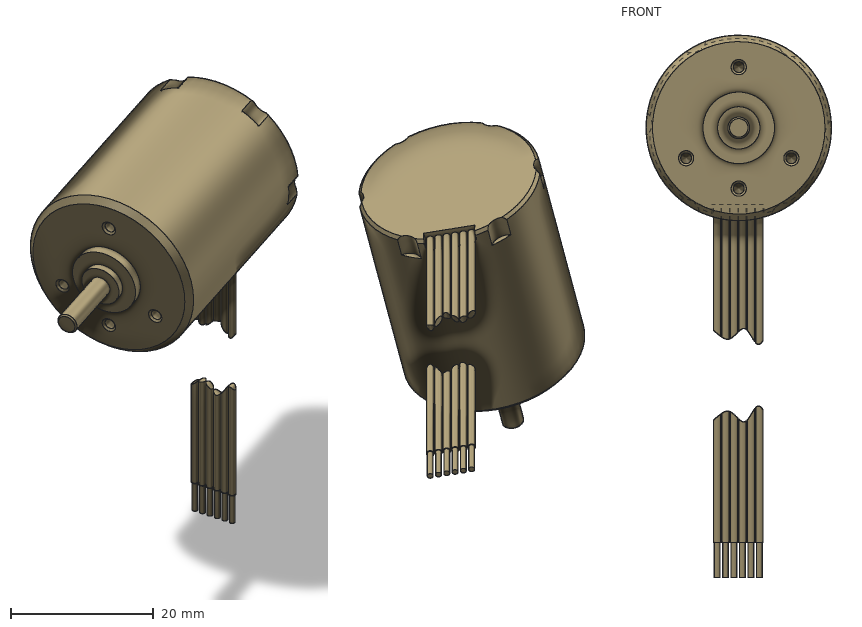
import cadquery as cq
import math


HOUSING_RADIUS = 13.0
HOUSING_LENGTH = 32.35
FRONT_CHAMFER = 0.9
REAR_CHAMFER = 0.45

BOSS_RADIUS = 5.0
BOSS_LENGTH = 1.45
BEARING_RADIUS = 3.0
BEARING_LENGTH = 1.1
SHAFT_RADIUS = 1.5
SHAFT_LENGTH = 10.0
SHAFT_CHAMFER = 0.2

MOUNT_CIRCLE_RADIUS = 8.5
MOUNT_HOLE_ANGLES = (90, 210, 270, 330)
MOUNT_HOLE_RADIUS = 0.75
MOUNT_HOLE_DEPTH = 3.05
MOUNT_HOLE_CHAMFER = 0.3
MOUNT_HOLE_TIP_LENGTH = 0.45

NOTCH_COUNT = 6
NOTCH_WIDTH = 3.2
NOTCH_LENGTH = 3.3
NOTCH_RADIUS = 2.1
NOTCH_START_ANGLE = -2.3

WIRE_COUNT = 6
WIRE_RADIUS = 0.5
WIRE_ROW_WIDTH = 7.0
WIRE_PITCH = (WIRE_ROW_WIDTH - 2 * WIRE_RADIUS) / (WIRE_COUNT - 1)
WIRE_ROW_X = -0.1
WIRE_Y = HOUSING_LENGTH - 1.2
WIRE_EMBEDDING = 0.75
CORE_RADIUS = 0.42
CORE_LENGTH = 4.95
OVERALL_HEIGHT = 76.1
WIRE_END_Z = HOUSING_RADIUS - OVERALL_HEIGHT
INSULATION_END_Z = WIRE_END_Z + CORE_LENGTH

WIRE_SLOT_CLEARANCE = 0.15
WIRE_SLOT_WIDTH = WIRE_ROW_WIDTH + 2 * WIRE_SLOT_CLEARANCE
WIRE_SLOT_DEPTH = 2.3
WIRE_SLOT_TOP_Z = -HOUSING_RADIUS + WIRE_SLOT_DEPTH
WIRE_TOP_Z = WIRE_SLOT_TOP_Z + WIRE_EMBEDDING

BREAK_Z = -34.7
BREAK_WAVE = [(-3.7, 6.5), (-2.7, 5.55), (-1.5, 5.0), (0.75, 6.55), (2.7, 4.3), (3.65, 5.3)]


def rod_along_y(radius, start_y, length):
    """Solid cylinder on the motor axis, growing from start_y toward -Y."""
    return cq.Workplane("XZ", origin=(0, start_y, 0)).circle(radius).extrude(length)


def rod_along_z(radius, x, bottom_z, top_z):
    """Solid upright cylinder in the wire row."""
    plane = cq.Workplane("XY", origin=(x, WIRE_Y, bottom_z))
    return plane.circle(radius).extrude(top_z - bottom_z)


def make_housing():
    housing = rod_along_y(HOUSING_RADIUS, HOUSING_LENGTH, HOUSING_LENGTH)
    housing = housing.faces("<Y").chamfer(FRONT_CHAMFER)
    return housing.faces(">Y").chamfer(REAR_CHAMFER)


def make_shaft_end():
    boss = rod_along_y(BOSS_RADIUS, 0, BOSS_LENGTH)
    bearing = rod_along_y(BEARING_RADIUS, -BOSS_LENGTH, BEARING_LENGTH)
    shaft = rod_along_y(SHAFT_RADIUS, -BOSS_LENGTH - BEARING_LENGTH, SHAFT_LENGTH)
    shaft = shaft.faces("<Y").chamfer(SHAFT_CHAMFER)
    return boss.union(bearing).union(shaft)


def make_mount_hole(angle):
    """Drilled blind hole with a chamfered mouth and a conical bottom, as a cutting solid."""
    x = MOUNT_CIRCLE_RADIUS * math.cos(math.radians(angle))
    z = MOUNT_CIRCLE_RADIUS * math.sin(math.radians(angle))
    mouth_radius = MOUNT_HOLE_RADIUS + MOUNT_HOLE_CHAMFER
    inward = cq.Vector(0, 1, 0)
    mouth = cq.Vector(x, 0, z)
    bore = cq.Solid.makeCylinder(MOUNT_HOLE_RADIUS, MOUNT_HOLE_DEPTH, mouth, inward)
    countersink = cq.Solid.makeCone(mouth_radius, MOUNT_HOLE_RADIUS, MOUNT_HOLE_CHAMFER, mouth, inward)
    tip = cq.Solid.makeCone(
        MOUNT_HOLE_RADIUS, 0, MOUNT_HOLE_TIP_LENGTH, cq.Vector(x, MOUNT_HOLE_DEPTH, z), inward
    )
    return bore.fuse(countersink, tip)


def make_notch(angle):
    """Round-bottomed notch, open to the rear, as a cutting solid."""
    half_width = NOTCH_WIDTH / 2
    rim_distance = math.sqrt(HOUSING_RADIUS**2 - half_width**2)
    axis_distance = rim_distance + math.sqrt(NOTCH_RADIUS**2 - half_width**2)
    x = axis_distance * math.cos(math.radians(angle))
    z = axis_distance * math.sin(math.radians(angle))
    plane = cq.Workplane("XZ", origin=(x, HOUSING_LENGTH, z))
    return plane.circle(NOTCH_RADIUS).extrude(NOTCH_LENGTH)


def make_wire_slot():
    """Slot from the rear face to the middle of the wire row, as a cutting solid."""
    slot_length = HOUSING_LENGTH - WIRE_Y
    slot = cq.Workplane("XY").box(
        WIRE_SLOT_WIDTH, slot_length, WIRE_SLOT_DEPTH, centered=(True, False, False)
    )
    return slot.translate((WIRE_ROW_X, WIRE_Y, -HOUSING_RADIUS))


def make_break():
    """Gap between the upper and lower wires, with mirrored wavy ends."""
    upper = [(x, BREAK_Z + half_gap) for x, half_gap in BREAK_WAVE]
    lower = [(x, BREAK_Z - half_gap) for x, half_gap in BREAK_WAVE]
    outline = (
        cq.Workplane("XZ", origin=(0, WIRE_Y, 0))
        .moveTo(*upper[0])
        .spline(upper[1:], includeCurrent=True)
        .lineTo(*lower[-1])
        .spline(lower[-2::-1], includeCurrent=True)
        .close()
    )
    return outline.extrude(2 * WIRE_RADIUS, both=True)


def make_motor(wire_positions, wire_break):
    """Housing with its shaft end and the upper stubs of the wires."""
    motor = make_housing().union(make_shaft_end())
    for angle in MOUNT_HOLE_ANGLES:
        motor = motor.cut(cq.Workplane(make_mount_hole(angle)))
    for index in range(NOTCH_COUNT):
        motor = motor.cut(make_notch(NOTCH_START_ANGLE + index * 360 / NOTCH_COUNT))
    motor = motor.cut(make_wire_slot())
    for x in wire_positions:
        stub = rod_along_z(WIRE_RADIUS, x, BREAK_Z, WIRE_TOP_Z).cut(wire_break)
        motor = motor.union(stub)
    return motor


def make_lower_wire(x, wire_break):
    """Cut-off length of insulated wire with a bare core at its lower end."""
    insulation = rod_along_z(WIRE_RADIUS, x, INSULATION_END_Z, BREAK_Z).cut(wire_break)
    core = rod_along_z(CORE_RADIUS, x, WIRE_END_Z, INSULATION_END_Z)
    return insulation.union(core)


first_wire_x = WIRE_ROW_X - WIRE_ROW_WIDTH / 2 + WIRE_RADIUS
wire_positions = [first_wire_x + index * WIRE_PITCH for index in range(WIRE_COUNT)]
wire_break = make_break()

motor = make_motor(wire_positions, wire_break)
lower_wires = [make_lower_wire(x, wire_break) for x in wire_positions]

result = cq.Compound.makeCompound([motor.val(), *[wire.val() for wire in lower_wires]])